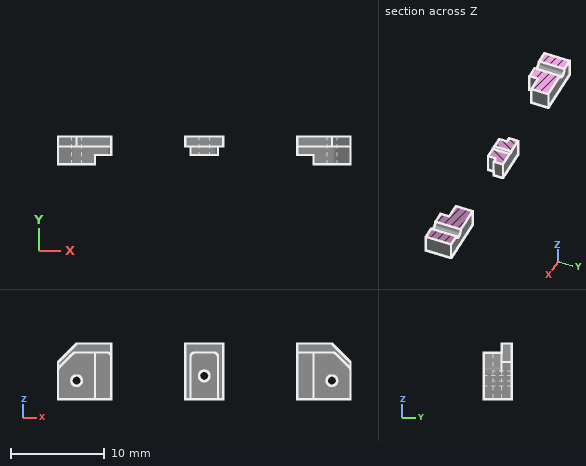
import cadquery as cq

overall_length = 31.4
height = 6.0
plate_thickness = 1.1
step_depth = 2.0
end_depth = 3.0
top_ledge = 0.97
hole_diameter = 1.1
corner_radius = 0.5

end_width = 5.75
end_chamfer = 2.0
boss_chamfer = 1.73
boss_chamfer_radius = 0.6
deep_boss_width = 4.0
end_hole_inset = 2.0
end_hole_height = 2.0

centre_width = 4.08
centre_boss_width = 2.98
centre_hole_height = 2.5

boss_height = height - top_ledge


def box(width, y_back, y_front, tall):
    """Box on the ground starting at X = 0; depths are measured toward -Y from the back face."""
    return cq.Workplane("XY").box(width, y_front - y_back, tall, centered=False).translate((0, -y_front, 0))


def drill(body, x, z):
    """Through hole along Y."""
    cutter = (
        cq.Workplane("XZ")
        .center(x, z)
        .circle(hole_diameter / 2)
        .extrude(end_depth)
    )
    return body.cut(cutter)


def round_corner(boss, side):
    """Round the top corner of a boss on the given X side."""
    return boss.faces(">Z").edges(f"{side}X").fillet(corner_radius)


def make_end_block(inner_corner_rounded):
    """End block with its outer side at X = 0 and its back face at Y = 0."""
    plate = box(end_width, 0, plate_thickness, height)
    plate = plate.faces(">Z").edges("<X").chamfer(end_chamfer)

    boss = box(end_width, plate_thickness, end_depth, boss_height)
    boss = boss.faces(">Z").edges("<X").chamfer(boss_chamfer)
    boss = boss.faces(">Z").edges("<X").fillet(boss_chamfer_radius)
    boss = boss.faces("<X").edges(">Z").fillet(boss_chamfer_radius)
    if inner_corner_rounded:
        boss = round_corner(boss, ">")

    step = box(end_width - deep_boss_width, step_depth, end_depth, height).translate((deep_boss_width, 0, 0))
    return drill(plate.union(boss.cut(step)), end_hole_inset, end_hole_height)


def make_centre_block():
    """Centre block, symmetric about X = 0, with its back face at Y = 0."""
    plate = box(centre_width, 0, plate_thickness, height).translate((-centre_width / 2, 0, 0))
    boss = box(centre_boss_width, plate_thickness, step_depth, boss_height)
    for side in "<>":
        boss = round_corner(boss, side)
    return drill(plate.union(boss.translate((-centre_boss_width / 2, 0, 0))), 0, centre_hole_height)


left_block = make_end_block(inner_corner_rounded=True)
centre_block = make_centre_block().translate((overall_length / 2, 0, 0))
right_block = make_end_block(inner_corner_rounded=False).mirror("YZ").translate((overall_length, 0, 0))

result = cq.Compound.makeCompound([left_block.val(), centre_block.val(), right_block.val()])